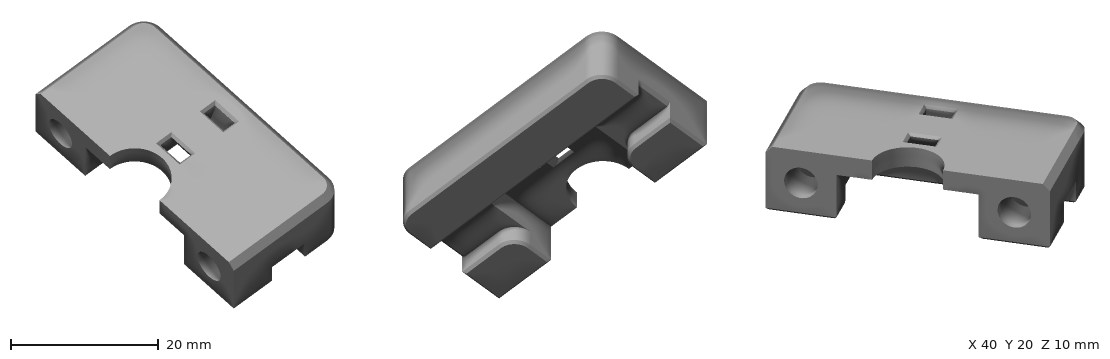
import cadquery as cq

length = 40.0
depth = 20.0
height = 10.0
back_corner_radius = 3.0
top_chamfer = 1.0
bottom_chamfer = 0.4

channel_width = 6.0
channel_height = 3.0
channel_front = (depth - channel_width) / 2
channel_back = channel_front + channel_width
channel_mouth_chamfer = 0.5

pocket_length = 20.0
roof_thickness = 3.0
pocket_height = height - roof_thickness
pocket_corner_radius = 3.0

notch_radius = 5.0

tie_width = 4.0
tie_outer_radius = 5.0
tie_inner_radius = 3.0
tie_center_y = 11.45
tie_mouth_chamfer = 0.4

screw_spacing = 30.0
screw_z = height / 2
insert_diameter = 4.7
insert_depth = 6.0
screw_diameter = 3.1
screw_depth = 15.0


def block(x_size, y_min, y_max, z_min, z_max):
    """Box centred on X between the given Y and Z limits."""
    return (
        cq.Workplane("XY")
        .box(x_size, y_max - y_min, z_max - z_min, centered=(True, False, False))
        .translate((0, y_min, z_min))
    )


def make_body():
    """Block with rounded back corners and a chamfered top on every side but the front."""
    body = block(length, 0, depth, 0, height)
    body = body.edges("|Z and >Y").fillet(back_corner_radius)
    return body.faces(">Z").edges("not <Y").chamfer(top_chamfer)


def cut_underside(body):
    """Cut the channel and the pocket, then break their edges."""
    body = body.cut(block(length, channel_front, channel_back, 0, channel_height))
    body = body.cut(block(pocket_length, 0, channel_back, 0, pocket_height))

    for side in (-1, 1):
        post_edge = cq.selectors.NearestToPointSelector(
            (side * pocket_length / 2, channel_front, channel_height / 2)
        )
        body = body.edges(post_edge).fillet(pocket_corner_radius)

    body = body.faces("<Z").edges().chamfer(bottom_chamfer)

    for side in (-1, 1):
        mouth_edge = cq.selectors.NearestToPointSelector((side * length / 2, depth / 2, channel_height))
        body = body.edges(mouth_edge).chamfer(channel_mouth_chamfer)
    return body


def cut_notch(body):
    """Cut the half-round notch through the roof."""
    notch = cq.Workplane("XY").circle(notch_radius).extrude(height)
    return body.cut(notch)


def tie_mouth(y_min, y_max):
    """Flared opening of the tie passage in the top face."""
    flare = 2 * tie_mouth_chamfer
    return (
        cq.Workplane("XY", origin=(0, (y_min + y_max) / 2, height))
        .rect(tie_width + flare, y_max - y_min + flare)
        .workplane(offset=-tie_mouth_chamfer)
        .rect(tie_width, y_max - y_min)
        .loft(ruled=True)
    )


def cut_tie_passage(body):
    """Cut the ring-shaped tie passage and its two flared mouths."""
    ring = (
        cq.Workplane("YZ", origin=(-tie_width / 2, tie_center_y, height))
        .circle(tie_outer_radius)
        .circle(tie_inner_radius)
        .extrude(tie_width)
    )
    body = body.cut(ring)
    body = body.cut(tie_mouth(tie_center_y - tie_outer_radius, tie_center_y - tie_inner_radius))
    return body.cut(tie_mouth(tie_center_y + tie_inner_radius, tie_center_y + tie_outer_radius))


def cut_screw_holes(body):
    """Cut a stepped blind hole into each front post."""
    for side in (-1, 1):
        face_center = cq.Workplane("XZ", origin=(side * screw_spacing / 2, 0, screw_z))
        body = body.cut(face_center.circle(insert_diameter / 2).extrude(-insert_depth))
        body = body.cut(face_center.circle(screw_diameter / 2).extrude(-screw_depth))
    return body


result = make_body()
result = cut_underside(result)
result = cut_notch(result)
result = cut_tie_passage(result)
result = cut_screw_holes(result)